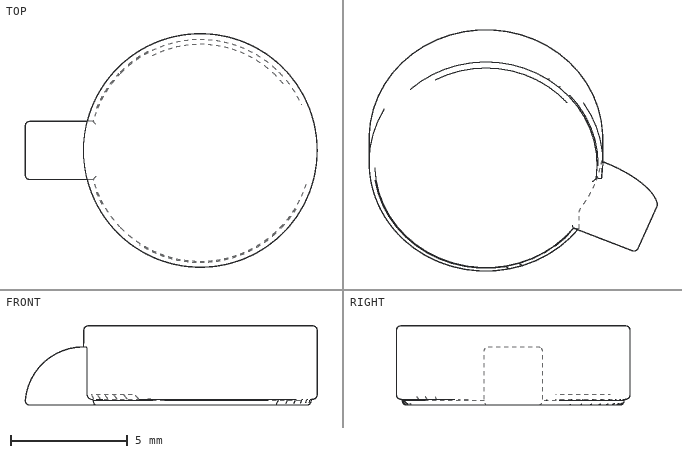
import cadquery as cq

body_radius = 5.0
total_height = 3.4
edge_round = 0.2

foot_root_round = 0.05
foot_radius = body_radius - edge_round - foot_root_round
foot_height = edge_round + foot_root_round

tab_width = 2.5
tab_radius = 2.5
tab_root_depth = 1.0


def make_body_with_foot():
    """Revolve the half profile of the body and its foot around Z."""
    underside_radius = body_radius - edge_round
    profile = (
        cq.Workplane("XZ")
        .lineTo(foot_radius - edge_round, 0)
        .radiusArc((foot_radius, edge_round), -edge_round)
        .radiusArc((underside_radius, foot_height), foot_root_round)
        .radiusArc((body_radius, foot_height + edge_round), -edge_round)
        .lineTo(body_radius, total_height - edge_round)
        .radiusArc((body_radius - edge_round, total_height), -edge_round)
        .lineTo(0, total_height)
        .close()
    )
    return profile.revolve(360, (0, 0, 0), (0, 1, 0))


def make_tab():
    """Quarter-round finger tab, rounded on every edge outside the body."""
    arc_center_x = -body_radius
    tip_x = arc_center_x - tab_radius
    root_x = arc_center_x + tab_root_depth
    tab = (
        cq.Workplane("XZ")
        .moveTo(tip_x, 0)
        .radiusArc((arc_center_x, tab_radius), tab_radius)
        .lineTo(root_x, tab_radius)
        .lineTo(root_x, 0)
        .close()
        .extrude(tab_width / 2, both=True)
    )
    side_edges = tab.faces("<Y or >Y").edges("not(>X)")
    bottom_tip_edge = tab.edges("<X")
    return tab.newObject(side_edges.vals() + bottom_tip_edge.vals()).fillet(edge_round)


result = make_body_with_foot().union(make_tab())